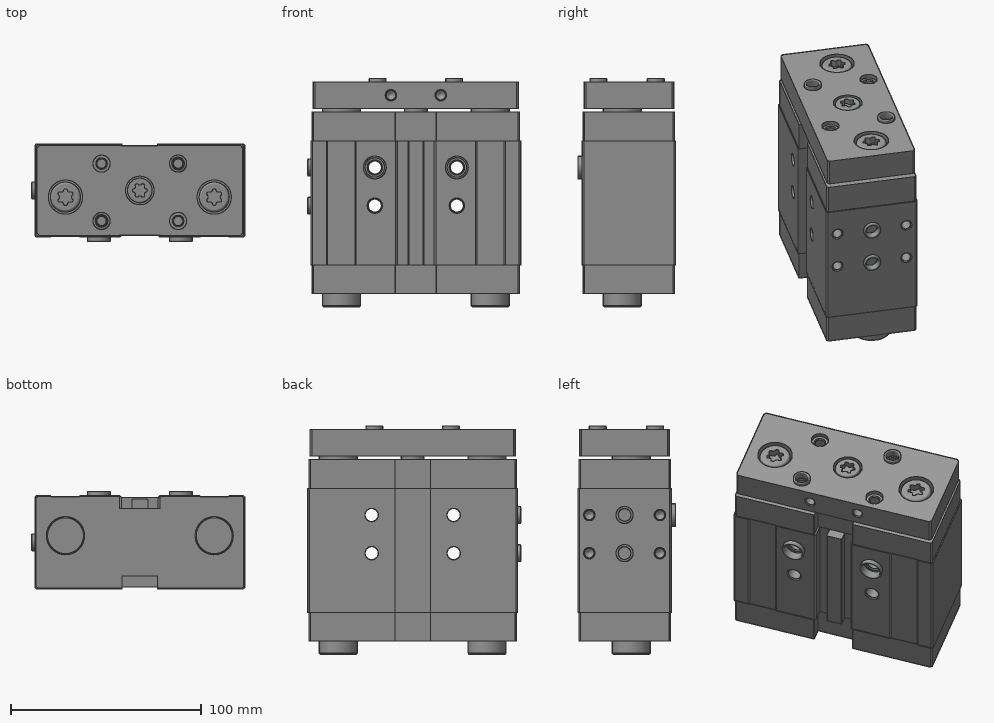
import cadquery as cq
import math


RIGHTWARD = (1, 0, 0)
BACKWARD = (0, 1, 0)
DOWN = (0, 0, -1)
UP = (0, 0, 1)

HOUSING_X = 110.1
HOUSING_Y = 49.0
HOUSING_Z = 65.0
HOUSING_CHAMFER = 0.8
FRONT_Y = -HOUSING_Y / 2
LEFT_X = -HOUSING_X / 2

COVER_X = 108.8
COVER_Y = 48.0
COVER_Z = 15.1

PLATE_X = 107.7
PLATE_Y = 47.1
PLATE_Z = 14.0
PLATE_CHAMFER = 1.1
PLATE_GAP = 1.8
ROD_OVERHANG = 7.0
ROD_DIAMETER = 20.0
ROD_SPACING = 78.0
ROD_Y = -3.5
ROD_CHAMFER = 0.6
PISTON_ROD_DIAMETER = 12.0

HOUSING_BOTTOM = ROD_OVERHANG + COVER_Z
HOUSING_TOP = HOUSING_BOTTOM + HOUSING_Z
COVER_TOP = HOUSING_TOP + COVER_Z
PLATE_BOTTOM = COVER_TOP + PLATE_GAP
PLATE_TOP = PLATE_BOTTOM + PLATE_Z

FRONT_SLOT_WIDTH = 19.2
FRONT_SLOT_FLOOR_Y = -17.7
FRONT_SLOT_CHAMFER = 1.0
COVER_SLOT_WIDTH = FRONT_SLOT_WIDTH + 2 * FRONT_SLOT_CHAMFER
COVER_SLOT_CHAMFER = 0.4
BACK_SLOT_WIDTH = 18.7
BACK_SLOT_FLOOR_Y = -FRONT_SLOT_FLOOR_Y
RIB_WIDTH = 8.4
RIB_CHAMFER = 0.5
RIB_SETBACK = 1.8

RECESS_INNER_X = 31.3
RECESS_OUTER_X = 47.0
RECESS_DEPTH = 0.7

HOLE_PITCH_Z = 20.0
LOWER_HOLE_Z = 53.1
HOLE_ROWS_Z = (LOWER_HOLE_Z, LOWER_HOLE_Z + HOLE_PITCH_Z)
FRONT_HOLE_SPACING = 43.0
FRONT_HOLE_DIAMETER = 6.8
FRONT_HOLE_MOUTH = 8.0
SIDE_HOLE_SPACING = 37.0

THREAD_DIAMETER = 4.9
THREAD_MOUTH = 6.0
THREAD_DEPTH = 9.6
DRILL_TIP_ANGLE = 118.0

PLATE_FRONT_HOLE_SPACING = 26.1
PLATE_HOLE_SPACING_X = 40.1
PLATE_HOLE_SPACING_Y = 30.1
PLATE_HOLE_CENTER_Y = -1.0

SMALL_SLEEVE_DIAMETER = 9.0
SMALL_SLEEVE_BORE = 6.6
LEFT_SLEEVE_PROUD = 1.7
TOP_SLEEVE_PROUD = 1.8
LARGE_SLEEVE_DIAMETER = 12.0
LARGE_SLEEVE_BORE = 10.2
FRONT_SLEEVE_PROUD = 2.3
SLEEVE_SEAT_DEPTH = 2.2

ROD_SCREW_RECESS = 18.0
ROD_SCREW_HEAD = 15.8
ROD_SCREW_ROUNDING = 1.3
ROD_SCREW_HEAD_Z = 10.3
ROD_SCREW_SOCKET = 8.7
ROD_SOCKET_DEPTH = 3.8
PISTON_SCREW_RECESS = 15.0
PISTON_SCREW_HEAD = 12.9
PISTON_SCREW_ROUNDING = 0.6
PISTON_SCREW_HEAD_Z = 10.7
PISTON_SCREW_SOCKET = 7.9
PISTON_SOCKET_DEPTH = 2.8
SCREW_RECESS_DEPTH = 10.8
SOCKET_VALLEY_RATIO = 0.72
SOCKET_LOBES = 6


def block(size_x, size_y, bottom, height, chamfer):
    """Upright box centred on X = Y = 0 with chamfered vertical edges."""
    box = cq.Workplane("XY").box(size_x, size_y, height, centered=(True, True, False))
    return box.edges("|Z").chamfer(chamfer).translate((0, 0, bottom))


def cylinder(base, direction, diameter, length):
    """Round bar that starts at the point `base` and runs along `direction`."""
    return cq.Workplane(cq.Solid.makeCylinder(diameter / 2, length, cq.Vector(*base), cq.Vector(*direction)))


def cone(base, direction, start_diameter, end_diameter, length):
    return cq.Workplane(
        cq.Solid.makeCone(start_diameter / 2, end_diameter / 2, length, cq.Vector(*base), cq.Vector(*direction))
    )


def mouth_chamfer(base, direction, mouth, diameter):
    """45 degree countersink from the mouth diameter down to the hole diameter."""
    return cone(base, direction, mouth, diameter, (mouth - diameter) / 2)


def threaded_hole(base, direction):
    """Blind hole with a countersunk mouth and a drill-point bottom."""
    tip_length = THREAD_DIAMETER / 2 / math.tan(math.radians(DRILL_TIP_ANGLE / 2))
    tip_base = cq.Vector(*base) + cq.Vector(*direction) * THREAD_DEPTH
    hole = cylinder(base, direction, THREAD_DIAMETER, THREAD_DEPTH)
    hole = hole.union(cone(tip_base.toTuple(), direction, THREAD_DIAMETER, 0, tip_length))
    return hole.union(mouth_chamfer(base, direction, THREAD_MOUTH, THREAD_DIAMETER))


def slot(width, floor_y, face_y):
    """Cutter for a full-height vertical slot from a face at `face_y` back to `floor_y`."""
    depth = abs(face_y - floor_y)
    return cq.Workplane("XY").box(width, depth, COVER_TOP, centered=(True, True, False)).translate(
        (0, (face_y + floor_y) / 2, 0)
    )


def rod_positions():
    return [(side * ROD_SPACING / 2, ROD_Y) for side in (-1, 1)]


def rod_bores():
    """Cutters for the passages of both guide rods."""
    bores = cq.Workplane("XY").pushPoints(rod_positions()).circle(ROD_DIAMETER / 2)
    return bores.extrude(COVER_TOP)


FRONT_SLEEVES = [
    ((side * FRONT_HOLE_SPACING / 2, FRONT_Y, HOLE_ROWS_Z[1]), BACKWARD) for side in (-1, 1)
]
LEFT_SLEEVES = [((LEFT_X, 0, z), RIGHTWARD) for z in HOLE_ROWS_Z]


def plate_hole_point(side_x, side_y):
    return (
        side_x * PLATE_HOLE_SPACING_X / 2,
        PLATE_HOLE_CENTER_Y + side_y * PLATE_HOLE_SPACING_Y / 2,
        PLATE_TOP,
    )


TOP_SLEEVES = [(plate_hole_point(side, side), DOWN) for side in (-1, 1)]


def front_slot_with_rib():
    """Cutter for the housing's front slot: chamfered mouth, with the rib left standing in it."""
    half = FRONT_SLOT_WIDTH / 2
    mouth_half = half + FRONT_SLOT_CHAMFER
    rib_half = RIB_WIDTH / 2
    rib_face_y = FRONT_Y + RIB_SETBACK
    profile = [
        (-mouth_half, FRONT_Y),
        (-half, FRONT_Y + FRONT_SLOT_CHAMFER),
        (-half, FRONT_SLOT_FLOOR_Y),
        (-rib_half, FRONT_SLOT_FLOOR_Y),
        (-rib_half, rib_face_y + RIB_CHAMFER),
        (RIB_CHAMFER - rib_half, rib_face_y),
        (rib_half - RIB_CHAMFER, rib_face_y),
        (rib_half, rib_face_y + RIB_CHAMFER),
        (rib_half, FRONT_SLOT_FLOOR_Y),
        (half, FRONT_SLOT_FLOOR_Y),
        (half, FRONT_Y + FRONT_SLOT_CHAMFER),
        (mouth_half, FRONT_Y),
    ]
    return cq.Workplane("XY").polyline(profile).close().extrude(COVER_TOP)


def front_recess(side):
    """Cutter for one shallow front recess with 45 degree flanks."""
    profile = [
        (side * RECESS_INNER_X, FRONT_Y),
        (side * (RECESS_INNER_X + RECESS_DEPTH), FRONT_Y + RECESS_DEPTH),
        (side * (RECESS_OUTER_X - RECESS_DEPTH), FRONT_Y + RECESS_DEPTH),
        (side * RECESS_OUTER_X, FRONT_Y),
    ]
    return cq.Workplane("XY").polyline(profile).close().extrude(COVER_TOP)


def make_housing():
    body = block(HOUSING_X, HOUSING_Y, HOUSING_BOTTOM, HOUSING_Z, HOUSING_CHAMFER)
    body = body.cut(front_slot_with_rib())
    body = body.cut(slot(BACK_SLOT_WIDTH, BACK_SLOT_FLOOR_Y, HOUSING_Y / 2))
    body = body.cut(rod_bores())
    for side in (-1, 1):
        body = body.cut(front_recess(side))
        for z in HOLE_ROWS_Z:
            mouth = (side * FRONT_HOLE_SPACING / 2, FRONT_Y, z)
            body = body.cut(cylinder(mouth, BACKWARD, FRONT_HOLE_DIAMETER, HOUSING_Y))
            seat_depth = 0 if z == LOWER_HOLE_Z else SLEEVE_SEAT_DEPTH
            seat_floor = (mouth[0], FRONT_Y + seat_depth, z)
            body = body.cut(mouth_chamfer(seat_floor, BACKWARD, FRONT_HOLE_MOUTH, FRONT_HOLE_DIAMETER))
            body = body.cut(threaded_hole((LEFT_X, side * SIDE_HOLE_SPACING / 2, z), RIGHTWARD))
    for base, inward in FRONT_SLEEVES:
        body = body.cut(cylinder(base, inward, LARGE_SLEEVE_DIAMETER, SLEEVE_SEAT_DEPTH))
    for base, inward in LEFT_SLEEVES:
        body = body.cut(cylinder(base, inward, SMALL_SLEEVE_DIAMETER, SLEEVE_SEAT_DEPTH))
    return body


def cover_front_slot():
    """Cutter for a cover's front slot with a small chamfer along its mouth."""
    half = COVER_SLOT_WIDTH / 2
    mouth_half = half + COVER_SLOT_CHAMFER
    face_y = -COVER_Y / 2
    profile = [
        (-mouth_half, face_y),
        (-half, face_y + COVER_SLOT_CHAMFER),
        (-half, FRONT_SLOT_FLOOR_Y),
        (half, FRONT_SLOT_FLOOR_Y),
        (half, face_y + COVER_SLOT_CHAMFER),
        (mouth_half, face_y),
    ]
    return cq.Workplane("XY").polyline(profile).close().extrude(COVER_TOP)


def make_cover(bottom):
    body = block(COVER_X, COVER_Y, bottom, COVER_Z, HOUSING_CHAMFER)
    body = body.cut(cover_front_slot())
    body = body.cut(slot(BACK_SLOT_WIDTH, BACK_SLOT_FLOOR_Y, COVER_Y / 2))
    return body.cut(rod_bores())


def make_upper_cover():
    body = make_cover(HOUSING_TOP)
    return body.cut(cylinder((0, 0, HOUSING_TOP), UP, PISTON_ROD_DIAMETER, COVER_Z))


def star_socket(tip_diameter, depth, first_angle):
    """Cutter for a six-lobed screw socket, with arcs over its tips and valleys and its top at Z = 0."""
    tip = tip_diameter / 2
    valley = tip * SOCKET_VALLEY_RATIO
    flank = (tip + valley) / 2
    pitch = 360 / SOCKET_LOBES

    def polar(radius, angle):
        return (radius * math.cos(math.radians(angle)), radius * math.sin(math.radians(angle)))

    outline = cq.Workplane("XY").moveTo(*polar(flank, first_angle - pitch / 4))
    for lobe in range(SOCKET_LOBES):
        angle = first_angle + pitch * lobe
        outline = outline.threePointArc(polar(tip, angle), polar(flank, angle + pitch / 4))
        outline = outline.threePointArc(polar(valley, angle + pitch / 2), polar(flank, angle + 3 * pitch / 4))
    return outline.close().extrude(-depth)


def screw_head(diameter, height, rounding, socket):
    """Cylindrical screw head standing on Z = 0 with a star socket in its top."""
    head = cq.Workplane("XY").circle(diameter / 2).extrude(height).faces(">Z").edges().fillet(rounding)
    return head.cut(socket.translate((0, 0, height)))


def make_rod():
    rod = cq.Workplane("XY").circle(ROD_DIAMETER / 2).extrude(PLATE_BOTTOM)
    return rod.faces("<Z").edges().chamfer(ROD_CHAMFER)


def add_screw(body, x, y, recess_diameter, head):
    """Sink a round recess into the plate top and stand the screw head on its floor."""
    recess = cylinder((x, y, PLATE_TOP), DOWN, recess_diameter, SCREW_RECESS_DEPTH)
    return body.cut(recess).union(head.translate((x, y, PLATE_TOP - SCREW_RECESS_DEPTH)))


def cut_plate_holes(body):
    """Blind threads in the plate front, and threads with sleeve seats through the plate top."""
    for side_x in (-1, 1):
        front_mouth = (side_x * PLATE_FRONT_HOLE_SPACING / 2, -PLATE_Y / 2, (PLATE_BOTTOM + PLATE_TOP) / 2)
        body = body.cut(threaded_hole(front_mouth, BACKWARD))
        for side_y in (-1, 1):
            mouth = plate_hole_point(side_x, side_y)
            seat_floor = (mouth[0], mouth[1], PLATE_TOP - SLEEVE_SEAT_DEPTH)
            body = body.cut(cylinder(mouth, DOWN, SMALL_SLEEVE_DIAMETER, SLEEVE_SEAT_DEPTH))
            body = body.cut(cylinder(mouth, DOWN, THREAD_DIAMETER, PLATE_Z))
            body = body.cut(mouth_chamfer(seat_floor, DOWN, THREAD_MOUTH, THREAD_DIAMETER))
    return body


def make_yoke():
    """Plate with its guide rods, piston rod and the screws that join them, as one moving body."""
    body = block(PLATE_X, PLATE_Y, PLATE_BOTTOM, PLATE_Z, PLATE_CHAMFER)

    rod_socket = star_socket(ROD_SCREW_SOCKET, ROD_SOCKET_DEPTH, 90)
    rod_head = screw_head(ROD_SCREW_HEAD, ROD_SCREW_HEAD_Z, ROD_SCREW_ROUNDING, rod_socket)
    for x, y in rod_positions():
        body = body.union(make_rod().translate((x, y, 0)))
        body = add_screw(body, x, y, ROD_SCREW_RECESS, rod_head)

    piston_socket = star_socket(PISTON_SCREW_SOCKET, PISTON_SOCKET_DEPTH, 0)
    piston_head = screw_head(PISTON_SCREW_HEAD, PISTON_SCREW_HEAD_Z, PISTON_SCREW_ROUNDING, piston_socket)
    body = body.union(cylinder((0, 0, HOUSING_TOP), UP, PISTON_ROD_DIAMETER, PLATE_BOTTOM - HOUSING_TOP))
    body = add_screw(body, 0, 0, PISTON_SCREW_RECESS, piston_head)
    return cut_plate_holes(body)


def make_sleeve(base, inward, diameter, bore, proud):
    """Ring that fills its seat below the face and stands proud of it with a fully rounded rim."""
    outer_radius = diameter / 2
    bore_radius = bore / 2
    round_radius = (outer_radius - bore_radius) / 2
    rim_start = proud - round_radius
    section = (
        cq.Workplane("XZ")
        .moveTo(bore_radius, -SLEEVE_SEAT_DEPTH)
        .lineTo(outer_radius, -SLEEVE_SEAT_DEPTH)
        .lineTo(outer_radius, rim_start)
        .threePointArc((bore_radius + round_radius, proud), (bore_radius, rim_start))
        .close()
    )
    ring = section.revolve(360, (0, 0, 0), (0, 1, 0)).val()
    return cq.Workplane(ring.located(cq.Location(cq.Plane(base, normal=cq.Vector(*inward) * -1))))


housing = make_housing()
upper_cover = make_upper_cover()
lower_cover = make_cover(ROD_OVERHANG)
yoke = make_yoke()
left_sleeves = [
    make_sleeve(base, inward, SMALL_SLEEVE_DIAMETER, SMALL_SLEEVE_BORE, LEFT_SLEEVE_PROUD)
    for base, inward in LEFT_SLEEVES
]
top_sleeves = [
    make_sleeve(base, inward, SMALL_SLEEVE_DIAMETER, SMALL_SLEEVE_BORE, TOP_SLEEVE_PROUD)
    for base, inward in TOP_SLEEVES
]
front_sleeves = [
    make_sleeve(base, inward, LARGE_SLEEVE_DIAMETER, LARGE_SLEEVE_BORE, FRONT_SLEEVE_PROUD)
    for base, inward in FRONT_SLEEVES
]

result = cq.Compound.makeCompound(
    [housing.val(), upper_cover.val(), lower_cover.val(), yoke.val()]
    + [sleeve.val() for sleeve in left_sleeves + top_sleeves + front_sleeves]
)